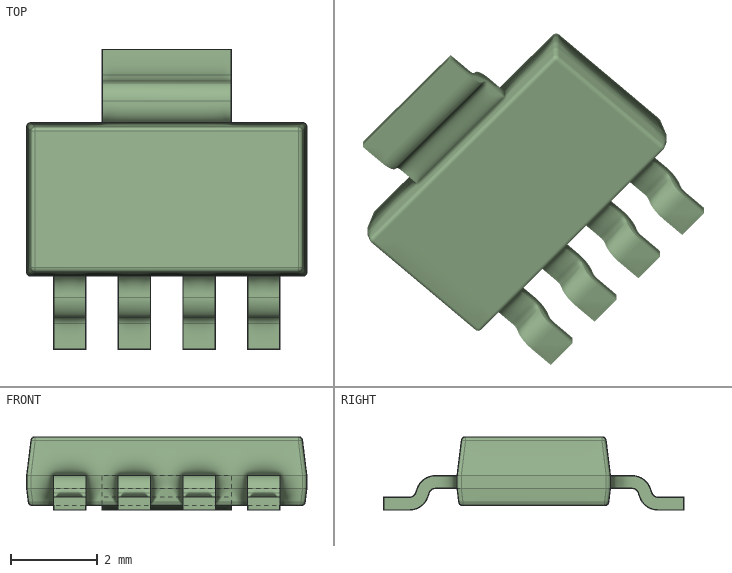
import cadquery as cq
import math

body_length = 6.5
body_width = 3.56
body_bottom = 0.1
body_top = 1.7
draft_angle = 7.0
edge_radius = 0.1

lead_thickness = 0.3
lead_top = 0.8
lead_reach = 1.7
shoulder_length = 0.5
bend_angle = math.radians(70)
bend_inner_radius = 0.15
lead_embed = 0.5

pin_count = 4
pin_pitch = 1.5
pin_width = 0.75
tab_width = 3.0

belt_bottom = lead_top - lead_thickness
bend_outer_radius = bend_inner_radius + lead_thickness


def drafted_block(height, draft=draft_angle):
    """Block on the body footprint that narrows upward from Z = 0."""
    return cq.Workplane("XY").rect(body_length, body_width).extrude(height, taper=draft)


def make_body():
    """Belt with two drafted halves, rounded on the corners and rims."""
    upper = drafted_block(body_top - lead_top).translate((0, 0, lead_top))
    belt = drafted_block(lead_thickness, draft=0).translate((0, 0, belt_bottom))
    lower = drafted_block(belt_bottom - body_bottom).mirror("XY").translate((0, 0, belt_bottom))
    body = upper.union(belt).union(lower)
    rounded_corners = body.edges("not(|X or |Y)").fillet(edge_radius)
    return rounded_corners.faces(">Z or <Z").edges().fillet(edge_radius)


def point_on_arc(center, radius, angle):
    """Point at the given angle from +Z, turning toward the lead tip."""
    return (center[0] + radius * math.sin(angle), center[1] + radius * math.cos(angle))


def make_lead(width):
    """Gull-wing lead centred on X = 0 and reaching toward +Y."""
    wall = body_width / 2
    tip = wall + lead_reach
    drop = lead_top - lead_thickness
    radius_sum = bend_inner_radius + bend_outer_radius
    slope_length = (drop - radius_sum * (1 - math.cos(bend_angle))) / math.sin(bend_angle)
    bend_run = radius_sum * math.sin(bend_angle) + slope_length * math.cos(bend_angle)

    shoulder_center = (wall + shoulder_length, lead_top - bend_outer_radius)
    foot_center = (shoulder_center[0] + bend_run, bend_outer_radius)
    half_bend = bend_angle / 2

    def shoulder_arc(radius, angle):
        return point_on_arc(shoulder_center, radius, angle)

    def foot_arc(radius, angle):
        return point_on_arc(foot_center, radius, math.pi + angle)

    profile = (
        cq.Workplane("YZ")
        .moveTo(wall - lead_embed, lead_top)
        .lineTo(*shoulder_arc(bend_outer_radius, 0))
        .threePointArc(
            shoulder_arc(bend_outer_radius, half_bend),
            shoulder_arc(bend_outer_radius, bend_angle),
        )
        .lineTo(*foot_arc(bend_inner_radius, bend_angle))
        .threePointArc(
            foot_arc(bend_inner_radius, half_bend),
            foot_arc(bend_inner_radius, 0),
        )
        .lineTo(tip, lead_thickness)
        .lineTo(tip, 0)
        .lineTo(*foot_arc(bend_outer_radius, 0))
        .threePointArc(
            foot_arc(bend_outer_radius, half_bend),
            foot_arc(bend_outer_radius, bend_angle),
        )
        .lineTo(*shoulder_arc(bend_inner_radius, bend_angle))
        .threePointArc(
            shoulder_arc(bend_inner_radius, half_bend),
            shoulder_arc(bend_inner_radius, 0),
        )
        .lineTo(wall - lead_embed, belt_bottom)
        .close()
    )
    return profile.extrude(width / 2, both=True)


result = make_body().union(make_lead(tab_width))
pin = make_lead(pin_width).mirror("XZ")
for index in range(pin_count):
    pin_x = (index - (pin_count - 1) / 2) * pin_pitch
    result = result.union(pin.translate((pin_x, 0, 0)))